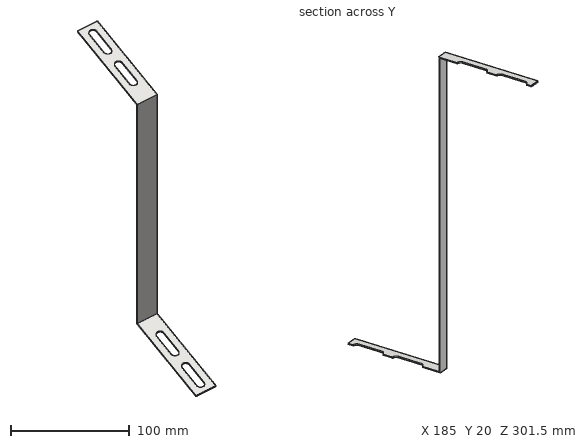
import cadquery as cq

thickness = 1.5
strip_width = 20.0
overall_length = 185.0
overall_height = 301.5
top_flange_length = 93.5

slot_length = 30.0
slot_width = 7.0
first_slot_center = 20.0
slot_pitch = 40.0
slots_per_flange = 2

bottom_flange_length = overall_length - top_flange_length + thickness
half_length = overall_length / 2
web_x = half_length - bottom_flange_length
top_flange_z = overall_height - thickness


def plate(length, height, x_start, z_start):
    """Full-width flat plate, centred on Y, from its lowest X and Z corner."""
    blank = cq.Workplane("XY").box(length, strip_width, height, centered=(False, True, False))
    return blank.translate((x_start, 0, z_start))


def slot_cutters(outward, z_start):
    """Slots of one flange; outward is -1 or +1, the X direction of its free end."""
    distances = [first_slot_center + i * slot_pitch for i in range(slots_per_flange)]
    centers = [(outward * (half_length - distance), 0) for distance in distances]
    return (
        cq.Workplane("XY", origin=(0, 0, z_start))
        .pushPoints(centers)
        .slot2D(slot_length, slot_width)
        .extrude(thickness)
    )


web = plate(thickness, overall_height, web_x, 0)
top_flange = plate(top_flange_length, thickness, -half_length, top_flange_z)
bottom_flange = plate(bottom_flange_length, thickness, web_x, 0)

bracket = web.union(top_flange).union(bottom_flange)
result = bracket.cut(slot_cutters(-1, top_flange_z)).cut(slot_cutters(1, 0))